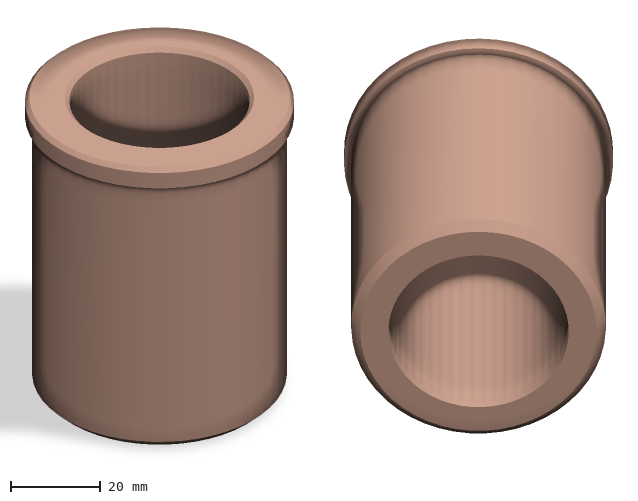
import cadquery as cq

length = 75.0
body_diameter = 56.8
bore_diameter = 40.2
flange_diameter = 60.0
flange_height = 5.0
edge_chamfer = 1.0
lead_in_chamfer = 2.0

body_radius = body_diameter / 2
bore_radius = bore_diameter / 2
flange_radius = flange_diameter / 2
flange_bottom = length - flange_height
chamfer_bottom = length - edge_chamfer

half_section = (
    cq.Workplane("XZ")
    .moveTo(bore_radius, 0)
    .lineTo(body_radius - lead_in_chamfer, 0)
    .lineTo(body_radius, lead_in_chamfer)
    .lineTo(body_radius, flange_bottom)
    .lineTo(flange_radius, flange_bottom)
    .lineTo(flange_radius, chamfer_bottom)
    .lineTo(flange_radius - edge_chamfer, length)
    .lineTo(bore_radius + edge_chamfer, length)
    .lineTo(bore_radius, chamfer_bottom)
    .close()
)

result = half_section.revolve(360, (0, 0, 0), (0, 1, 0))